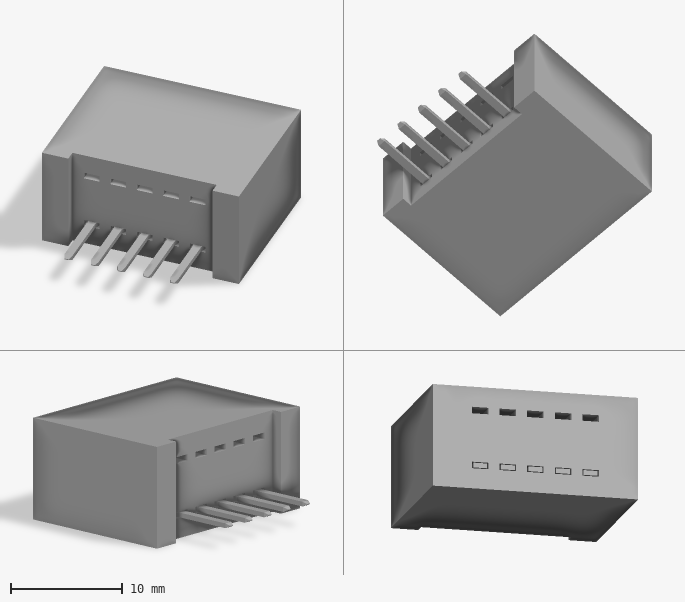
import cadquery as cq

total_length = 20.02
housing_width = 18.95
housing_depth = 15.0
housing_height = 9.4
front_recess_width = 13.87
front_recess_depth = 1.0

contacts_per_row = 5
contact_pitch = 2.55
row_spacing = 2 * contact_pitch
slot_width = 1.52
slot_height = 0.6

pin_thickness = 0.45
blade_width = 1.26
tail_width = 0.76
shoulder_length = 0.56
shoulder_projection = 0.06
tip_length = 0.38
tip_width = 0.38
tip_thickness = 0.08

housing_back_y = total_length
housing_front_y = housing_back_y - housing_depth
slot_mouth_y = housing_front_y + front_recess_depth
shoulder_front_y = slot_mouth_y - shoulder_projection
shoulder_back_y = shoulder_front_y + shoulder_length

lower_row_z = (housing_height - row_spacing) / 2
upper_row_z = lower_row_z + row_spacing
contact_xs = [(i - (contacts_per_row - 1) / 2) * contact_pitch for i in range(contacts_per_row)]


def box_between(width, height, y_start, y_end, x_center, z_center):
    """Rectangular bar along Y, centred on the given X and Z."""
    return (
        cq.Workplane("XY")
        .box(width, y_end - y_start, height)
        .translate((x_center, (y_start + y_end) / 2, z_center))
    )


def make_housing():
    """Block with a full-height front recess and two rows of through slots."""
    middle_z = housing_height / 2
    body = box_between(housing_width, housing_height, housing_front_y, housing_back_y, 0, middle_z)
    recess = box_between(front_recess_width, housing_height, housing_front_y, slot_mouth_y, 0, middle_z)
    body = body.cut(recess)
    for row_z in (lower_row_z, upper_row_z):
        for x in contact_xs:
            slot = box_between(slot_width, slot_height, slot_mouth_y, housing_back_y, x, row_z)
            body = body.cut(slot)
    return body


def make_pin(x):
    """Flat pin: shouldered bar in plan, ending in a tip tapered on all four sides."""
    half_blade = blade_width / 2
    half_tail = tail_width / 2
    bar = (
        cq.Workplane("XY")
        .polyline([
            (-half_tail, tip_length),
            (half_tail, tip_length),
            (half_tail, shoulder_front_y),
            (half_blade, shoulder_back_y),
            (half_blade, housing_back_y),
            (-half_blade, housing_back_y),
            (-half_blade, shoulder_back_y),
            (-half_tail, shoulder_front_y),
        ])
        .close()
        .extrude(pin_thickness / 2, both=True)
    )
    tip = (
        cq.Workplane("XZ", origin=(0, tip_length, 0))
        .rect(tail_width, pin_thickness)
        .workplane(offset=tip_length)
        .rect(tip_width, tip_thickness)
        .loft()
    )
    return bar.union(tip).translate((x, 0, lower_row_z))


housing = make_housing()
pins = [make_pin(x) for x in contact_xs]

result = cq.Compound.makeCompound([housing.val(), *[pin.val() for pin in pins]])